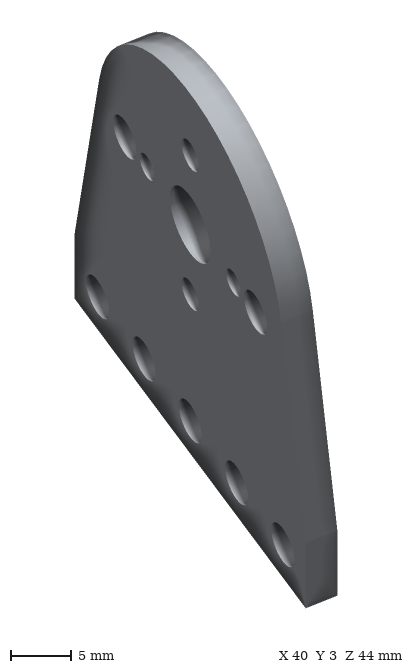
import cadquery as cq
import math

height = 44.0
width = 40.0
thickness = 3.0
side_height = 8.0
head_radius = 16.0
head_z = height - head_radius

bore_diameter = 7.0
vertical_hole_diameter = 3.0
vertical_hole_offset = 8.5
inner_hole_diameter = 2.5
inner_hole_offset = 7.5
mount_hole_diameter = 4.0
outer_hole_offset = 11.3

foot_hole_count = 5
foot_hole_pitch = 8.0
foot_hole_z = foot_hole_pitch / 2


def plate():
    """Flat plate whose slanted sides run tangent into the round head."""
    half_width = width / 2
    drop = head_z - side_height
    corner_angle = math.atan2(drop, half_width)
    reach = math.hypot(half_width, drop)
    tangent_angle = math.acos(head_radius / reach) - corner_angle
    tangent_x = head_radius * math.cos(tangent_angle)
    tangent_z = head_z + head_radius * math.sin(tangent_angle)
    return (
        cq.Workplane("XZ")
        .moveTo(-half_width, 0)
        .lineTo(half_width, 0)
        .lineTo(half_width, side_height)
        .lineTo(tangent_x, tangent_z)
        .threePointArc((0, height), (-tangent_x, tangent_z))
        .lineTo(-half_width, side_height)
        .close()
        .extrude(thickness)
    )


def hole_cutters(centres, diameter):
    """Cylinders through the full thickness at the given (x, z) centres."""
    return (
        cq.Workplane("XZ")
        .pushPoints(centres)
        .circle(diameter / 2)
        .extrude(thickness)
    )


def mirrored_pair(offset):
    """Hole centres on both sides of the head centre, level with it."""
    return [(-offset, head_z), (offset, head_z)]


vertical_centres = [(0, head_z - vertical_hole_offset), (0, head_z + vertical_hole_offset)]
foot_centres = [
    ((i - (foot_hole_count - 1) / 2) * foot_hole_pitch, foot_hole_z)
    for i in range(foot_hole_count)
]

result = plate()
for centres, diameter in (
    ([(0, head_z)], bore_diameter),
    (vertical_centres, vertical_hole_diameter),
    (mirrored_pair(inner_hole_offset), inner_hole_diameter),
    (mirrored_pair(outer_hole_offset), mount_hole_diameter),
    (foot_centres, mount_hole_diameter),
):
    result = result.cut(hole_cutters(centres, diameter))